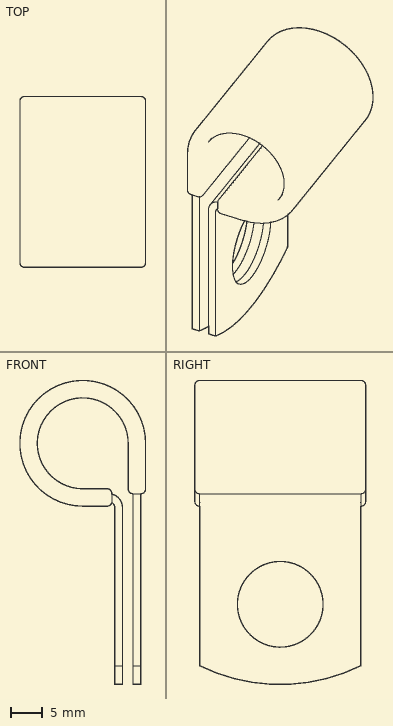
import cadquery as cq
import math

total_height = 48.05
cushion_width = 27.0
loop_outer_radius = 9.95
strap_thickness = 1.25
cushion_cover = 0.75
right_cushion_end = -7.97
lower_cushion_end = 4.6
leg_gap = 1.65
bend_inner_radius = 1.0
hole_diameter = 13.5
hole_height = 12.7
tip_rise = 3.0

strap_width = cushion_width - 2 * cushion_cover
strap_outer_radius = loop_outer_radius - cushion_cover
strap_inner_radius = strap_outer_radius - strap_thickness
loop_inner_radius = strap_inner_radius - cushion_cover
leg_bottom = loop_outer_radius - total_height
bent_leg_right = strap_inner_radius - leg_gap
bent_leg_left = bent_leg_right - strap_thickness
bend_outer_radius = bend_inner_radius + strap_thickness
bend_x = bent_leg_left - bend_inner_radius
bend_z = -strap_outer_radius - bend_inner_radius


def xz_plane(width):
    """XZ plane placed so that a positive extrusion of width is centered on Y = 0."""
    return cq.Workplane("XZ", origin=(0, width / 2, 0))


def loop_middle(radius):
    """Point halfway around the three-quarter loop from +X over the top to -Z."""
    diagonal = radius * math.sqrt(0.5)
    return (-diagonal, diagonal)


def bend_middle(radius):
    """Point halfway around a bend that turns from +Z to +X."""
    diagonal = radius * math.sqrt(0.5)
    return (bend_x + diagonal, bend_z + diagonal)


def make_cushion():
    sleeve = (
        xz_plane(cushion_width)
        .moveTo(loop_outer_radius, right_cushion_end)
        .lineTo(loop_outer_radius, 0)
        .threePointArc(loop_middle(loop_outer_radius), (0, -loop_outer_radius))
        .lineTo(lower_cushion_end, -loop_outer_radius)
        .lineTo(lower_cushion_end, -loop_inner_radius)
        .lineTo(0, -loop_inner_radius)
        .threePointArc(loop_middle(loop_inner_radius), (loop_inner_radius, 0))
        .lineTo(loop_inner_radius, right_cushion_end)
        .close()
        .extrude(cushion_width)
    )
    end_faces = sleeve.faces("<Y or >Y")
    strap_exits = sleeve.faces(cq.selectors.BoxSelector(
        (lower_cushion_end - cushion_cover, -cushion_width, -loop_outer_radius),
        (loop_outer_radius, cushion_width, right_cushion_end + cushion_cover),
    ))
    return end_faces.add(strap_exits).edges().fillet(cushion_cover)


def make_strap():
    return (
        xz_plane(strap_width)
        .moveTo(strap_outer_radius, leg_bottom)
        .lineTo(strap_outer_radius, 0)
        .threePointArc(loop_middle(strap_outer_radius), (0, -strap_outer_radius))
        .lineTo(bend_x, -strap_outer_radius)
        .threePointArc(bend_middle(bend_inner_radius), (bent_leg_left, bend_z))
        .lineTo(bent_leg_left, leg_bottom)
        .lineTo(bent_leg_right, leg_bottom)
        .lineTo(bent_leg_right, bend_z)
        .threePointArc(bend_middle(bend_outer_radius), (bend_x, -strap_inner_radius))
        .lineTo(0, -strap_inner_radius)
        .threePointArc(loop_middle(strap_inner_radius), (strap_inner_radius, 0))
        .lineTo(strap_inner_radius, leg_bottom)
        .close()
        .extrude(strap_width)
    )


def make_side_outline():
    """Block along X with the rounded leg tips and the bolt hole."""
    half_width = strap_width / 2
    side = cq.Workplane("YZ", origin=(-loop_outer_radius, 0, 0))
    length = 2 * loop_outer_radius
    block = (
        side.moveTo(-half_width, loop_outer_radius)
        .lineTo(-half_width, leg_bottom + tip_rise)
        .threePointArc((0, leg_bottom), (half_width, leg_bottom + tip_rise))
        .lineTo(half_width, loop_outer_radius)
        .close()
        .extrude(length)
    )
    hole = side.center(0, leg_bottom + hole_height).circle(hole_diameter / 2).extrude(length)
    return block.cut(hole)


strap = make_strap().intersect(make_side_outline())
result = make_cushion().union(strap)